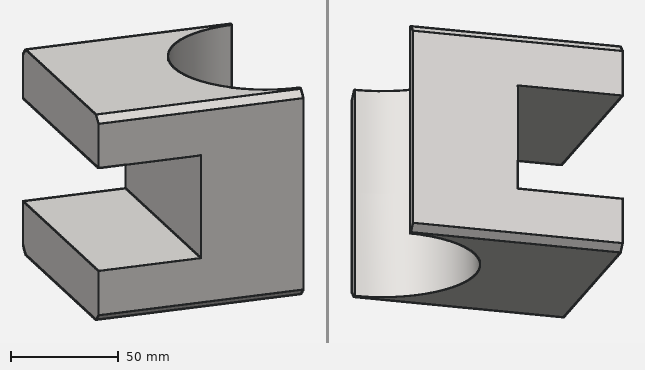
import cadquery as cq

side = 101.6
edge_chamfer = 3.5
bore_radius = 45.5
slot_height = side / 2
slot_depth = side / 2

block = cq.Workplane("XY").box(side, side, side).edges("|Y").chamfer(edge_chamfer)

trough = (
    cq.Workplane("XY")
    .center(0, side / 2)
    .circle(bore_radius)
    .extrude(side / 2, both=True)
)

slot = (
    cq.Workplane("XY")
    .box(side, slot_depth, slot_height)
    .translate((0, (slot_depth - side) / 2, 0))
)

result = block.cut(trough).cut(slot)